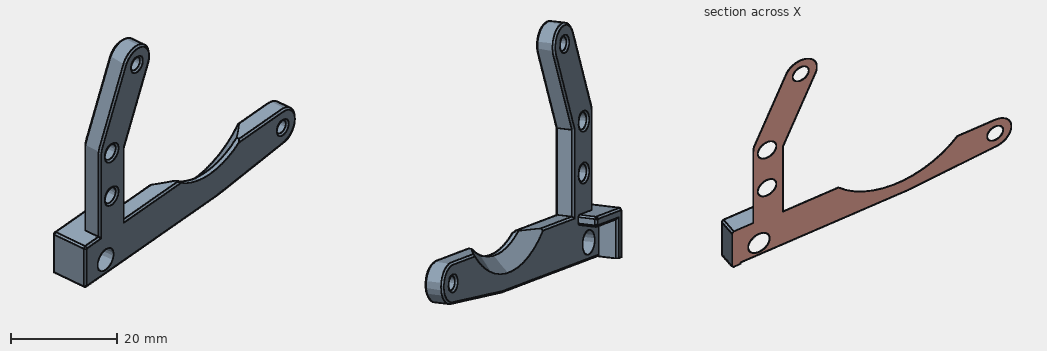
import cadquery as cq
import math

total_width = 8.0
plate_thickness = 4.0
beam_height = 9.5
end_radius = 4.0
edge_break = 0.4

plate_front = total_width - plate_thickness

beam_tip = (58.25, beam_height - end_radius)
arm_tip = (15.25, 43.5)
post_upper = (7.8, 27.2)
post_lower = (post_upper[0], 17.2)
heel = (6.0, 3.5)

tip_hole = 2.7
post_hole = 3.25
heel_hole = 4.7

post_near = 4.35
post_far = 11.75
knee_radius = 3.5
slope_start = 39.0

lip_length = 10.0
lip_height = 2.0
lip_wall = 2.0

scallop_center = (36.75, 21.75)
scallop_radius = 15.25
scallop_flare = 3.0


def offset(point, angle, distance):
    """Point moved by a distance in the direction of an angle in the YZ plane."""
    return (point[0] + distance * math.cos(angle), point[1] + distance * math.sin(angle))


def yz_plane(x):
    return cq.Workplane("YZ", origin=(x, 0, 0))


def edge_at(y, z):
    """Selector for the edge along X that passes closest to (y, z)."""
    return cq.selectors.NearestToPointSelector((total_width / 2, y, z))


def make_plate():
    lean = math.atan2(post_upper[1] - arm_tip[1], post_upper[0] - arm_tip[0])
    toward_far = lean + math.pi / 2
    toward_near = lean - math.pi / 2
    arm_far = offset(arm_tip, toward_far, end_radius)
    arm_near = offset(arm_tip, toward_near, end_radius)
    arm_crown = offset(arm_tip, lean + math.pi, end_radius)
    knee_far_z = arm_far[1] + (post_far - arm_far[0]) * math.tan(lean)
    knee_near_z = arm_near[1] + (post_near - arm_near[0]) * math.tan(lean)

    run = beam_tip[0] - slope_start
    rise = beam_tip[1]
    slope = math.atan2(rise, run) - math.asin(end_radius / math.hypot(run, rise))
    slope_end = offset(beam_tip, slope - math.pi / 2, end_radius)

    plate = (
        yz_plane(plate_front)
        .moveTo(0, 0)
        .lineTo(slope_start, 0)
        .lineTo(*slope_end)
        .threePointArc((beam_tip[0] + end_radius, beam_tip[1]), (beam_tip[0], beam_height))
        .lineTo(post_far, beam_height)
        .lineTo(post_far, knee_far_z)
        .lineTo(*arm_far)
        .threePointArc(arm_crown, arm_near)
        .lineTo(post_near, knee_near_z)
        .lineTo(post_near, beam_height)
        .lineTo(0, beam_height)
        .close()
        .extrude(plate_thickness)
    )
    plate = plate.edges("|X").edges(edge_at(post_near, knee_near_z)).fillet(knee_radius)
    for z in (0, beam_height):
        plate = plate.edges("|X").edges(edge_at(0, z)).chamfer(edge_break)
    return plate.faces("<X or >X").edges().chamfer(edge_break)


def make_lip():
    root = plate_front + plate_thickness / 2
    lip_bottom = beam_height - lip_height
    lip = (
        yz_plane(0)
        .polyline([
            (0, 0),
            (lip_wall, 0),
            (lip_wall, lip_bottom),
            (lip_length, lip_bottom),
            (lip_length, beam_height),
            (0, beam_height),
        ])
        .close()
        .extrude(root)
    )
    upper_corners = [(0, beam_height), (lip_length, lip_bottom), (lip_length, beam_height)]
    for y, z in upper_corners:
        lip = lip.edges("|X").edges(edge_at(y, z)).chamfer(edge_break)
    lip = lip.faces("<X").edges("not <Z").chamfer(edge_break)
    return lip.edges("|X").edges(edge_at(0, 0)).chamfer(edge_break)


def make_scallop():
    flare_radius = scallop_radius + scallop_flare
    bore = yz_plane(plate_front).center(*scallop_center).circle(scallop_radius).extrude(plate_thickness)
    flare = cq.Solid.makeCone(
        flare_radius,
        scallop_radius,
        scallop_flare,
        pnt=cq.Vector(plate_front, *scallop_center),
        dir=cq.Vector(1, 0, 0),
    )
    return bore.union(cq.Workplane(flare))


def make_hole(center, diameter):
    return yz_plane(plate_front).center(*center).circle(diameter / 2).extrude(plate_thickness)


def make_broken_hole(center, diameter):
    """Through hole with a 45 degree chamfer at both mouths."""
    hole = make_hole(center, diameter)
    mouths = [(plate_front, 1), (total_width, -1)]
    for x, inward in mouths:
        mouth = cq.Solid.makeCone(
            diameter / 2 + edge_break,
            diameter / 2,
            edge_break,
            pnt=cq.Vector(x, *center),
            dir=cq.Vector(inward, 0, 0),
        )
        hole = hole.union(cq.Workplane(mouth))
    return hole


result = make_plate().cut(make_scallop()).union(make_lip())
for tip in (beam_tip, arm_tip):
    result = result.cut(make_broken_hole(tip, tip_hole))
for post_center in (post_upper, post_lower):
    result = result.cut(make_broken_hole(post_center, post_hole))
result = result.cut(make_hole(heel, heel_hole))